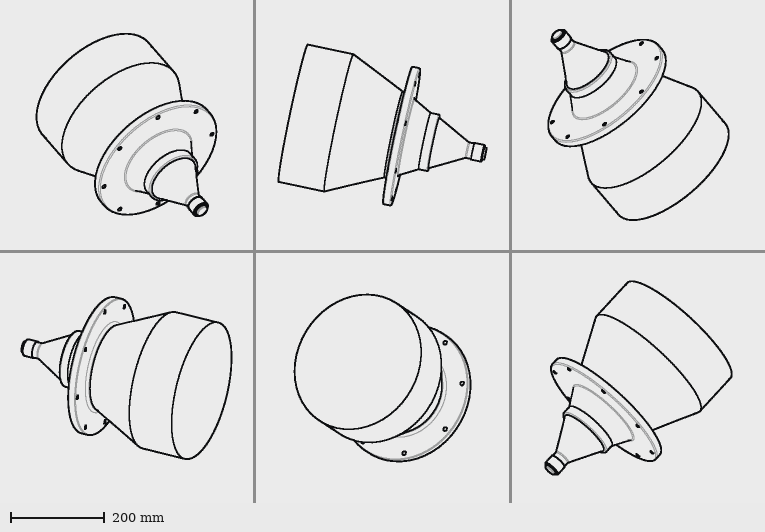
import cadquery as cq

BARREL_END = 100.0
NECK_START = 219.0
FLANGE_BACK = 227.8
FLANGE_FRONT = 245.5
COLLAR_BACK = 287.0
COLLAR_FRONT = 307.0
STEM_START = 379.5
CAP_BACK = 392.0
CAP_FRONT = 415.0
TIP_END = 419.5

BARREL_DIAMETER = 300.0
BARREL_RADIUS = BARREL_DIAMETER / 2
FLANGE_RADIUS = BARREL_RADIUS
NECK_RADIUS = 94.0
FRONT_CONE_RADIUS = 84.5
COLLAR_RADIUS = 61.5
NOSE_CONE_RADIUS = 55.5
STEM_RADIUS = 17.0
CAP_RADIUS = 18.5
TIP_RADIUS = 13.5

NECK_FILLET = 6.0
FLANGE_BACK_ROUND = 1.5
FLANGE_FRONT_ROUND = 2.5
FRONT_CONE_FILLET = 3.5
COLLAR_ROUND = 2.5
STEM_BLEND = 6.0
CAP_CHAMFER = 1.5
TIP_ROUND = 1.5

HOLE_COUNT = 8
HOLE_CIRCLE_RADIUS = 137.0
HOLE_DIAMETER = 8.5


def revolved_body():
    """Solid of revolution about X: barrel, cones, flange, collar and stepped tip."""
    profile = [
        (0, 0),
        (0, BARREL_RADIUS),
        (BARREL_END, BARREL_RADIUS),
        (NECK_START, NECK_RADIUS),
        (FLANGE_BACK, NECK_RADIUS),
        (FLANGE_BACK, FLANGE_RADIUS),
        (FLANGE_FRONT, FLANGE_RADIUS),
        (FLANGE_FRONT, FRONT_CONE_RADIUS),
        (COLLAR_BACK, COLLAR_RADIUS),
        (COLLAR_FRONT, COLLAR_RADIUS),
        (COLLAR_FRONT, NOSE_CONE_RADIUS),
        (STEM_START, STEM_RADIUS),
        (CAP_BACK, STEM_RADIUS),
        (CAP_BACK, CAP_RADIUS),
        (CAP_FRONT, CAP_RADIUS),
        (CAP_FRONT, TIP_RADIUS),
        (TIP_END, TIP_RADIUS),
        (TIP_END, 0),
    ]
    return cq.Workplane("XY").polyline(profile).close().revolve(360, (0, 0, 0), (1, 0, 0))


def rim(body, station, radius):
    """Select the circular edge of the body at one axial station and radius."""
    tolerance = 0.05

    def matches(edge):
        center = edge.Center()
        return (
            edge.geomType() == "CIRCLE"
            and abs(center.x - station) < tolerance
            and abs(edge.radius() - radius) < tolerance
        )

    return body.edges().filter(matches)


def soften_rims(body):
    """Round and blend the circular edges, then chamfer the cap."""
    rounds = [
        (NECK_FILLET, FLANGE_BACK, NECK_RADIUS),
        (FLANGE_BACK_ROUND, FLANGE_BACK, FLANGE_RADIUS),
        (FLANGE_FRONT_ROUND, FLANGE_FRONT, FLANGE_RADIUS),
        (FRONT_CONE_FILLET, FLANGE_FRONT, FRONT_CONE_RADIUS),
        (COLLAR_ROUND, COLLAR_FRONT, COLLAR_RADIUS),
        (STEM_BLEND, STEM_START, STEM_RADIUS),
        (TIP_ROUND, TIP_END, TIP_RADIUS),
    ]
    for size, station, radius in rounds:
        body = rim(body, station, radius).fillet(size)
    return rim(body, CAP_FRONT, CAP_RADIUS).chamfer(CAP_CHAMFER)


def bolt_holes():
    """Ring of through holes in the flange, with one hole on the Y axis."""
    return (
        cq.Workplane("YZ", origin=(FLANGE_BACK, 0, 0))
        .polarArray(HOLE_CIRCLE_RADIUS, 0, 360, HOLE_COUNT)
        .circle(HOLE_DIAMETER / 2)
        .extrude(FLANGE_FRONT - FLANGE_BACK)
    )


result = soften_rims(revolved_body()).cut(bolt_holes())